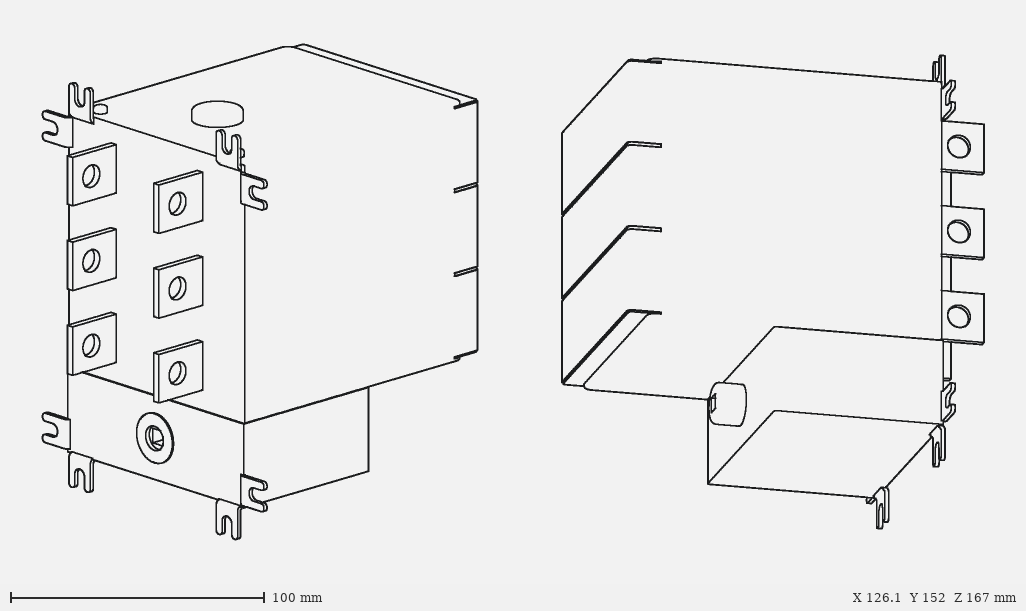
import cadquery as cq
import math

width = 100.2
depth = 128.1
module_pitch = 34.7
module_count = 3
housing_height = module_pitch * module_count
housing_mid_z = 18.2
back_corner_radius = 2.0

groove_width = 1.3
groove_depth = 0.5
groove_length = 13.5

plate_thickness = 1.3
plate_edge_fillet = 0.7
plate_depth = 119.5
plate_corner_radius = 4.0
top_z = housing_mid_z + housing_height / 2 + plate_thickness
bottom_z = housing_mid_z - housing_height / 2 - plate_thickness

box_height = 34.7
box_front_y = -0.7
box_back_y = 68.3
box_corner_radius = 1.3
box_bottom_z = bottom_z - box_height

shaft_z = bottom_z - box_height / 2
shaft_collar_diameter = 20.4
shaft_collar_height = 0.7
shaft_knob_diameter = 16.5
shaft_knob_length = 11.2
shaft_knob_fillet = 1.8
shaft_bore_diameter = 10.0
shaft_bore_depth = 2.0
shaft_square = 6.0

button_diameter = 20.4
button_height = 4.7
button_fillet = 1.3
button_y = 33.0
screw_diameter = 5.5
screw_height = 2.5
screw_fillet = 1.0
screw_spacing = 77.8
screw_y = 6.5

blade_thickness = 3.0
blade_height = 20.0
blade_length = 23.9
blade_spacing = 49.1
pole_pitch = 35.0
blade_hole_diameter = 9.2
blade_hole_y = -13.7

lug_width = 12.2
lug_thickness = 1.7
lug_front_y = -2.0
lug_bend_angle = 45
lug_bend_radius = 2.2
lug_flange_length = 3.3
lug_slot_width = 5.5
lug_slot_depth = 8.5
lug_tip_fillet = 1.5
lug_span_x = 126.1
lug_tip_x = lug_span_x / 2
lug_tip_z = 83.5
lug_bend_x = 50.8
lug_bend_z = 71.6
vertical_lug_x = 42.0
side_lug_z = 62.5


def block(size_x, y_start, y_end, z_start, z_end):
    """Box centred on X between the given Y and Z limits."""
    size = (size_x, y_end - y_start, z_end - z_start)
    return cq.Workplane("XY").box(*size, centered=(True, False, False)).translate((0, y_start, z_start))


def disc(diameter, y_start, y_end, z):
    """Cylinder along Y on the mid-plane of the width."""
    plane = cq.Workplane("XZ", origin=(0, y_start, z))
    return plane.circle(diameter / 2).extrude(y_start - y_end)


def make_housing():
    z_low = bottom_z + plate_thickness
    z_high = top_z - plate_thickness
    housing = block(width, 0, depth, z_low, z_high)
    housing = housing.edges("|Z and >Y").fillet(back_corner_radius)

    core_radius = back_corner_radius - groove_depth
    core = block(width - 2 * groove_depth, 0, depth - groove_depth, z_low, z_high)
    core = core.edges("|Z and >Y").fillet(core_radius)
    for joint in range(module_count + 1):
        joint_z = housing_mid_z + (joint - module_count / 2) * module_pitch
        band = block(
            width, depth - groove_length, depth, joint_z - groove_width / 2, joint_z + groove_width / 2
        )
        housing = housing.cut(band.cut(core))

    for z_start, z_end, outer_face in ((bottom_z, z_low, "<Z"), (z_high, top_z, ">Z")):
        plate = block(width, 0, plate_depth, z_start, z_end)
        plate = plate.edges("|Z and >Y").fillet(plate_corner_radius)
        rounded_edges = plate.faces(outer_face).edges("not <Y")
        housing = housing.union(rounded_edges.fillet(plate_edge_fillet))
    return housing


def make_drive_box():
    box = block(width, box_front_y, box_back_y, box_bottom_z, bottom_z)
    box = box.edges("|Z and >Y").fillet(box_corner_radius)
    knob_end_y = box_back_y + shaft_knob_length
    knob = disc(shaft_knob_diameter, box_back_y, knob_end_y, shaft_z)
    knob = knob.faces(">Y").edges().fillet(shaft_knob_fillet)
    collar_front_y = box_front_y - shaft_collar_height
    collar = disc(shaft_collar_diameter, collar_front_y, box_front_y, shaft_z)
    bore = disc(shaft_bore_diameter, collar_front_y, collar_front_y + shaft_bore_depth, shaft_z)
    square = block(
        shaft_square, collar_front_y, knob_end_y, shaft_z - shaft_square / 2, shaft_z + shaft_square / 2
    )
    return box.union(knob).union(collar).cut(bore).cut(square)


def make_button():
    button = cq.Workplane("XY", origin=(0, button_y, top_z)).circle(button_diameter / 2)
    return button.extrude(button_height).faces(">Z").edges().fillet(button_fillet)


def make_screw(x):
    screw = cq.Workplane("XY", origin=(x, screw_y, top_z)).circle(screw_diameter / 2)
    return screw.extrude(screw_height).faces(">Z").edges().fillet(screw_fillet)


def make_blade(x, z):
    """Terminal blade with a cross hole, standing out of the front face."""
    blade = block(blade_thickness, -blade_length, 0, z - blade_height / 2, z + blade_height / 2)
    hole = cq.Workplane("YZ").center(blade_hole_y, z).circle(blade_hole_diameter / 2)
    return blade.cut(hole.extrude(blade_thickness, both=True)).translate((x, 0, 0))


def make_lug(bend_start, tip):
    """Forked lug pointing along +X at Z = 0; from bend_start inwards it bends into +Y."""
    back_y = lug_front_y + lug_thickness
    inner_radius = lug_bend_radius - lug_thickness
    bend_centre_y = lug_front_y + lug_bend_radius
    bend_sin = math.sin(math.radians(lug_bend_angle))
    bend_cos = math.cos(math.radians(lug_bend_angle))

    def bend_end(radius):
        return (bend_start - radius * bend_sin, bend_centre_y - radius * bend_cos)

    outer_x, outer_y = bend_end(lug_bend_radius)
    inner_x, inner_y = bend_end(inner_radius)
    flange_x = -lug_flange_length * bend_cos
    flange_y = lug_flange_length * bend_sin
    profile = (
        cq.Workplane("XY", origin=(0, 0, -lug_width / 2))
        .moveTo(tip, lug_front_y)
        .lineTo(bend_start, lug_front_y)
        .radiusArc((outer_x, outer_y), lug_bend_radius)
        .lineTo(outer_x + flange_x, outer_y + flange_y)
        .lineTo(inner_x + flange_x, inner_y + flange_y)
        .lineTo(inner_x, inner_y)
        .radiusArc((bend_start, back_y), -inner_radius)
        .lineTo(tip, back_y)
        .close()
    )
    lug = profile.extrude(lug_width)
    slot_length = 2 * lug_slot_depth
    slot = (
        cq.Workplane("XZ", origin=(tip, 0, 0))
        .slot2D(slot_length, lug_slot_width)
        .extrude(2 * lug_bend_radius, both=True)
    )
    return lug.cut(slot).edges("|Y and >X").fillet(lug_tip_fillet)


def turned(lug, angle, x, z):
    """Turn a lug about the Y axis, then move it sideways."""
    return lug.rotate((0, 0, 0), (0, 1, 0), angle).translate((x, 0, z))


result = make_housing().union(make_drive_box()).union(make_button())

for side in (-1, 1):
    result = result.union(make_screw(side * screw_spacing / 2))
    for pole in (-1, 0, 1):
        blade_z = housing_mid_z + pole * pole_pitch
        result = result.union(make_blade(side * blade_spacing / 2, blade_z))

    side_angle = 0 if side > 0 else 180
    for level in (-1, 1):
        side_lug = make_lug(lug_bend_x, lug_tip_x)
        result = result.union(turned(side_lug, side_angle, 0, level * side_lug_z))
        vertical_lug = make_lug(lug_bend_z, lug_tip_z)
        result = result.union(turned(vertical_lug, -90 * level, side * vertical_lug_x, 0))